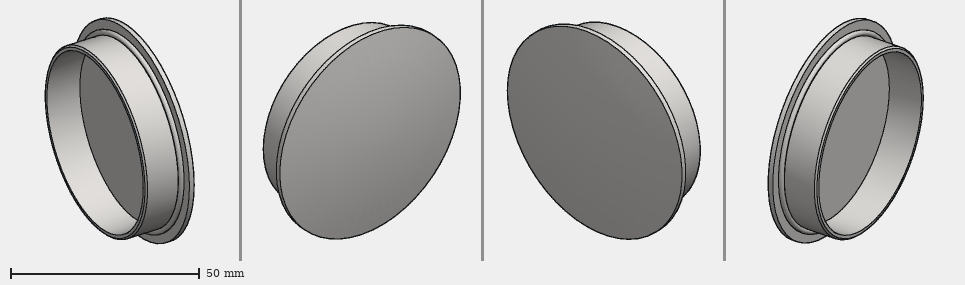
import cadquery as cq

flange_radius = 31.0
total_height = 15.45
dome_height = 3.0
flange_thickness = 1.5
skirt_radius = 26.9
skirt_inner_radius = 25.5
skirt_edge_chamfer = 0.5
bead_radius = 0.8
bead_outer_radius = 28.4
bead_drop = 0.55
cavity_depth = 10.1

skirt_length = total_height - dome_height - flange_thickness
flange_top = skirt_length + flange_thickness
dome_sphere_radius = (flange_radius**2 + dome_height**2) / (2 * dome_height)
dome_center = total_height - dome_sphere_radius
dome_mid_radius = flange_radius / 2
dome_mid_height = dome_center + (dome_sphere_radius**2 - dome_mid_radius**2) ** 0.5


def revolve_about_y(profile):
    return profile.close().revolve(360, (0, 0, 0), (0, 1, 0))


def make_body():
    """Skirt, flange and dome as one solid, with the skirt mouth at Y = 0."""
    profile = (
        cq.Workplane("XY")
        .lineTo(skirt_radius - skirt_edge_chamfer, 0)
        .lineTo(skirt_radius, skirt_edge_chamfer)
        .lineTo(skirt_radius, skirt_length)
        .lineTo(flange_radius, skirt_length)
        .lineTo(flange_radius, flange_top)
        .threePointArc((dome_mid_radius, dome_mid_height), (0, total_height))
    )
    return revolve_about_y(profile)


def make_bead():
    """Round sealing bead sunk slightly into both the skirt and the flange."""
    bead_center = bead_outer_radius - bead_radius
    bead_height = skirt_length - bead_drop
    skirt_offset = bead_center - skirt_radius
    skirt_contact = bead_height - (bead_radius**2 - skirt_offset**2) ** 0.5
    flange_contact = bead_center + (bead_radius**2 - bead_drop**2) ** 0.5
    profile = (
        cq.Workplane("XY")
        .moveTo(skirt_radius, skirt_contact)
        .threePointArc((bead_outer_radius, bead_height), (flange_contact, skirt_length))
        .lineTo(skirt_radius, skirt_length)
    )
    return revolve_about_y(profile)


def make_cavity():
    """Flat-bottomed round space inside the skirt."""
    return cq.Workplane("XZ").circle(skirt_inner_radius).extrude(-cavity_depth)


result = make_body().union(make_bead()).cut(make_cavity())